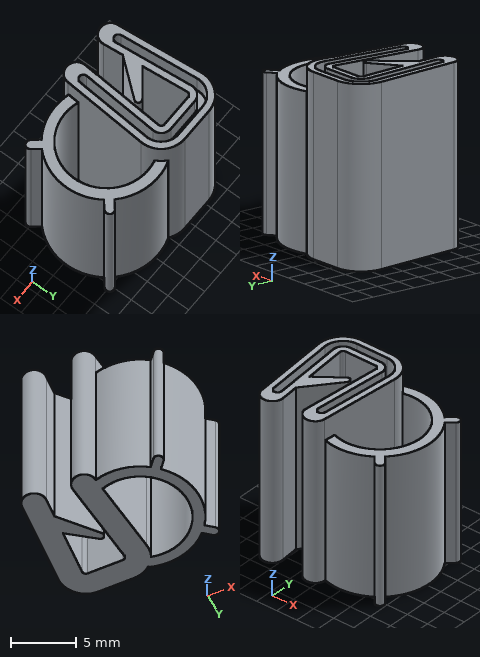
import cadquery as cq
import math


overall_width = 13.35

channel_length = 15.0
channel_width = 7.59
channel_depth = 10.98
wall = 2.0
outer_bend_radius = 2.3
leg_lean = 5.0

groove_width = 0.75
groove_depth = 2.0
groove_end_y = 1.32

lip_tip_x = 1.0
lip_tip_y = 6.09
lip_tip_radius = 0.3
lip_upper_angle = 37.3
lip_lower_angle = 50.7
lip_upper_run = 3.6
lip_lower_run = 4.65

bulb_length = 13.0
bulb_radius = 5.0
bulb_inner_radius = 4.0
bulb_x = overall_width - channel_width / 2 - bulb_radius
bulb_y = 5.78

fin_width = 0.81
fin_tip_distance = 5.82
fin_angles = (40.0, -50.0)

bend_radius = outer_bend_radius - wall / 2
bend_x = channel_width / 2 - outer_bend_radius
bend_y = channel_depth - outer_bend_radius


def polar(center, radius, angle):
    """Point at a distance and an angle in degrees from a centre."""
    turn = math.radians(angle)
    return (center[0] + radius * math.cos(turn), center[1] + radius * math.sin(turn))


def mirrored(point):
    return (-point[0], point[1])


def u_strip(width, end_y, height):
    """U-shaped strip along the wall centreline, with round ends that reach down to end_y."""
    half = width / 2
    outer = bend_radius + half
    inner = bend_radius - half
    bend = (bend_x, bend_y)
    side = -leg_lean
    bend_middle = (side + 90) / 2

    leg_start = polar(bend, bend_radius, side)
    leg_run = (leg_start[1] - end_y - half) / math.cos(math.radians(leg_lean))
    leg_end = polar(leg_start, leg_run, side - 90)
    leg_end_outer = polar(leg_end, half, side)
    leg_end_tip = polar(leg_end, half, side - 90)
    leg_end_inner = polar(leg_end, half, side + 180)
    outer_side, outer_middle, outer_top = (polar(bend, outer, a) for a in (side, bend_middle, 90))
    inner_side, inner_middle, inner_top = (polar(bend, inner, a) for a in (side, bend_middle, 90))

    return (
        cq.Workplane("XY")
        .moveTo(*leg_end_outer)
        .lineTo(*outer_side)
        .threePointArc(outer_middle, outer_top)
        .lineTo(*mirrored(outer_top))
        .threePointArc(mirrored(outer_middle), mirrored(outer_side))
        .lineTo(*mirrored(leg_end_outer))
        .threePointArc(mirrored(leg_end_tip), mirrored(leg_end_inner))
        .lineTo(*mirrored(inner_side))
        .threePointArc(mirrored(inner_middle), mirrored(inner_top))
        .lineTo(*inner_top)
        .threePointArc(inner_middle, inner_side)
        .lineTo(*leg_end_inner)
        .threePointArc(leg_end_tip, leg_end_outer)
        .close()
        .extrude(height)
    )


def make_groove():
    strip = u_strip(groove_width, groove_end_y, groove_depth)
    return strip.translate((0, 0, channel_length - groove_depth))


def make_lip():
    """Tapered lip with a round tip; its root is buried in the left leg."""
    center = (lip_tip_x, lip_tip_y)
    tip_angle = (lip_upper_angle + lip_lower_angle) / 2
    upper_tangent = polar(center, lip_tip_radius, lip_upper_angle + 90)
    lower_tangent = polar(center, lip_tip_radius, lip_lower_angle - 90)
    return (
        cq.Workplane("XY")
        .moveTo(*polar(upper_tangent, lip_upper_run, lip_upper_angle + 180))
        .lineTo(*upper_tangent)
        .threePointArc(polar(center, lip_tip_radius, tip_angle), lower_tangent)
        .lineTo(*polar(lower_tangent, lip_lower_run, lip_lower_angle + 180))
        .close()
        .extrude(channel_length)
    )


def make_fin(angle):
    """Radial fin with round ends; its inner end is buried in the bulb wall."""
    inner_end = (bulb_radius + bulb_inner_radius) / 2
    outer_end = fin_tip_distance + fin_width / 2
    return (
        cq.Workplane("XY")
        .center((inner_end + outer_end) / 2, 0)
        .slot2D(outer_end - inner_end, fin_width)
        .extrude(bulb_length)
        .rotate((0, 0, 0), (0, 0, 1), angle)
    )


def make_bulb():
    """Ring with fins, kept only on the +X side of the leaning right leg's centreline."""
    bulb = cq.Workplane("XY").circle(bulb_radius).circle(bulb_inner_radius).extrude(bulb_length)
    for angle in fin_angles:
        bulb = bulb.union(make_fin(angle))
    bulb = bulb.translate((bulb_x, bulb_y, 0))

    leg_line_point = polar((bend_x, bend_y), bend_radius, -leg_lean)
    keep_size = 4 * bulb_radius
    keep = (
        cq.Workplane("XY")
        .box(keep_size, keep_size, bulb_length, centered=(False, True, False))
        .rotate((0, 0, 0), (0, 0, 1), -leg_lean)
        .translate((*leg_line_point, 0))
    )
    return bulb.intersect(keep)


channel = u_strip(wall, 0, channel_length).union(make_lip())
result = channel.union(make_bulb()).cut(make_groove())